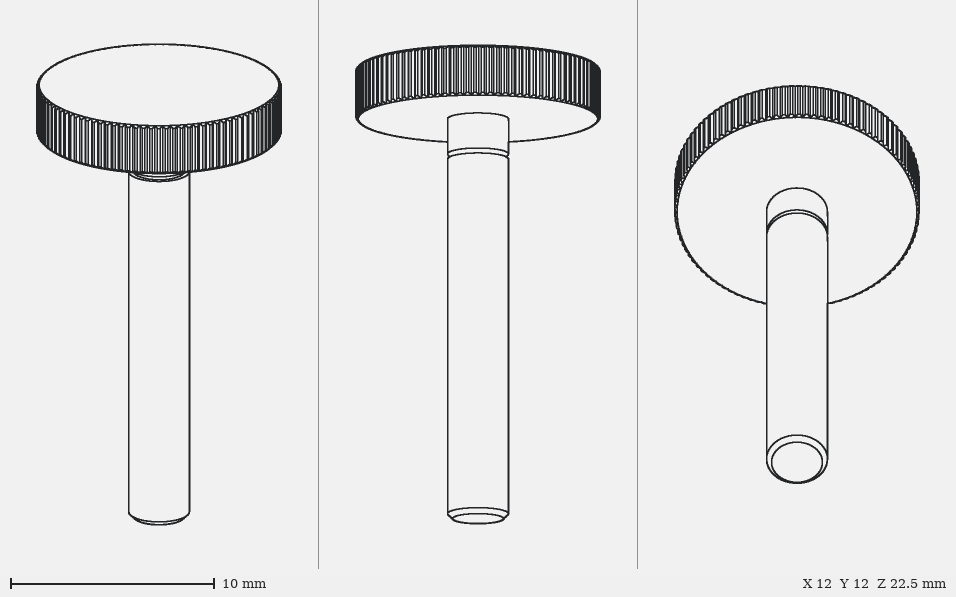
import cadquery as cq

total_length = 22.5
head_diameter = 12.0
head_height = 2.5
shank_diameter = 3.0

tooth_count = 100
knurl_depth = 0.125
groove_width = 0.25
rim_chamfer = 0.12

neck_length = 1.75
undercut_height = 0.25
undercut_depth = 0.25

tip_chamfer = 0.25

head_radius = head_diameter / 2
shank_radius = shank_diameter / 2
head_bottom = total_length - head_height
undercut_top = head_bottom - neck_length
undercut_bottom = undercut_top - undercut_height
face_radius = head_radius - rim_chamfer
groove_root_radius = head_radius - knurl_depth


def make_body():
    """Head and shank turned from one half profile, given as (radius, height)."""
    profile = [
        (0, 0),
        (shank_radius - tip_chamfer, 0),
        (shank_radius, tip_chamfer),
        (shank_radius, undercut_bottom),
        (shank_radius - undercut_depth, undercut_bottom),
        (shank_radius, undercut_top),
        (shank_radius, head_bottom),
        (face_radius, head_bottom),
        (head_radius, head_bottom + rim_chamfer),
        (head_radius, total_length - rim_chamfer),
        (face_radius, total_length),
        (0, total_length),
    ]
    return cq.Workplane("XZ").polyline(profile).close().revolve(360, (0, 0), (0, 1))


def make_knurl_grooves():
    """Ring of upright V-shaped prisms that cut the grooves; each overshoots the rim by one groove depth."""
    groove_angle = 360 / tooth_count
    section_depth = 2 * knurl_depth
    section_half_width = groove_width
    v_section = [
        (groove_root_radius, 0),
        (groove_root_radius + section_depth, section_half_width),
        (groove_root_radius + section_depth, -section_half_width),
    ]
    prism = (
        cq.Workplane("XY")
        .workplane(offset=head_bottom)
        .polyline(v_section)
        .close()
        .extrude(head_height)
        .val()
    )
    axis_start = cq.Vector(0, 0, 0)
    axis_end = cq.Vector(0, 0, 1)
    prisms = [prism.rotate(axis_start, axis_end, i * groove_angle) for i in range(tooth_count)]
    return cq.Workplane(obj=cq.Compound.makeCompound(prisms))


result = make_body().cut(make_knurl_grooves())